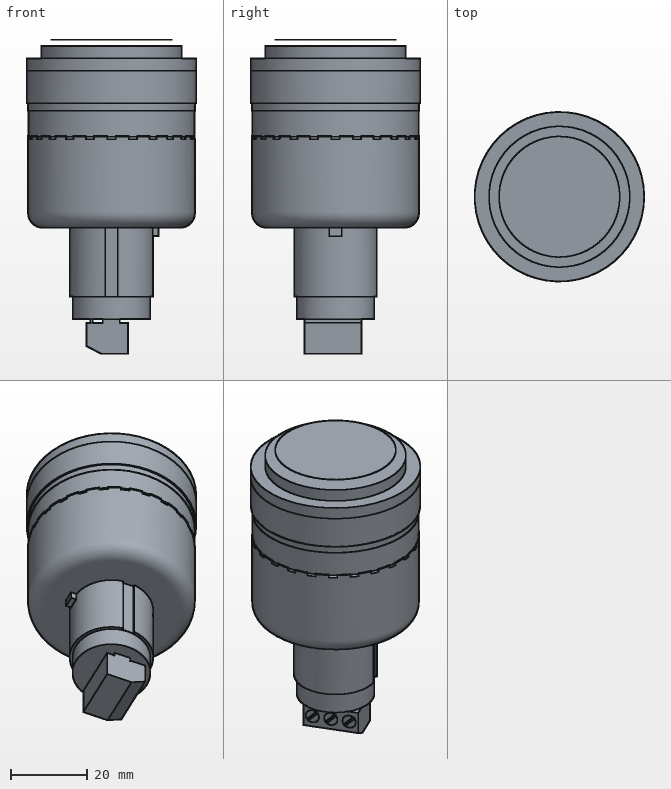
import cadquery as cq

TOTAL_HEIGHT = 82.5

DISC_RADIUS = 15.85
DISC_THICKNESS = 0.1

CAP_BOTTOM = 74.4
CAP_STEP = 77.6
CAP_TOP = 80.9
CAP_TOP_RADIUS = 18.5
FLANGE_RADIUS = 22.3

SPACER_BOTTOM = 65.9

HEAD_BOTTOM = 57.0
HEAD_STEP = 63.9
HEAD_RADIUS = 21.9
STEM_RADIUS = 10.2
STEM_BOTTOM = 9.2

HOUSING_RADIUS = 21.95
HOUSING_BOTTOM = 33.1
HOUSING_ROUNDING = 4.0
NECK_RADIUS = 11.0
NECK_BOTTOM = 15.0
TOOTH_TOP = 57.3
NOTCH_BOTTOM = 56.4
NOTCH_COUNT = 24
NOTCH_WIDTH = 2.2
KEY_SLOT_WIDTH = 3.2
KEY_SLOT_FLOOR = 10.3
TAB_REACH = 12.4
TAB_BOTTOM = 30.95

BLOCK_LEFT = -6.6
BLOCK_RIGHT = 4.4
BLOCK_TOP = 8.2
BLOCK_LENGTH = 15.0
BLOCK_CENTRE_Y = -0.7
BEVEL_HEIGHT = 2.1
BEVEL_WIDTH = 4.0
POST_LEFT = -2.3
POST_RIGHT = 2.2
LEG_THICKNESS = 0.75
LEG_WIDTH = 1.5
LEG_INSET = 1.0
LEG_SPACING = 9.7
SCREW_COUNT = 3
SCREW_PITCH = 5.0
SCREW_RADIUS = 1.8
SCREW_HEIGHT = 5.1
SCREW_RECESS = 0.1
DRIVER_SLOT_WIDTH = 0.53
DRIVER_SLOT_DEPTH = 0.2
DRIVER_SLOT_ANGLE = 45.0


def cylinder(radius, bottom, top):
    return cq.Workplane("XY").workplane(offset=bottom).circle(radius).extrude(top - bottom)


def box(x_range, y_range, z_range):
    """Box spanning the given (low, high) pairs."""
    sizes = [high - low for low, high in (x_range, y_range, z_range)]
    corner = (x_range[0], y_range[0], z_range[0])
    return cq.Workplane("XY").box(*sizes, centered=False).translate(corner)


def make_disc():
    return cylinder(DISC_RADIUS, TOTAL_HEIGHT - DISC_THICKNESS, TOTAL_HEIGHT)


def make_cap():
    flange = cylinder(FLANGE_RADIUS, CAP_BOTTOM, CAP_STEP)
    return flange.union(cylinder(CAP_TOP_RADIUS, CAP_STEP, CAP_TOP))


def make_spacer():
    return cylinder(FLANGE_RADIUS, SPACER_BOTTOM, CAP_BOTTOM)


def make_core():
    collar = cylinder(HOUSING_RADIUS, HEAD_STEP, SPACER_BOTTOM)
    head = cylinder(HEAD_RADIUS, HEAD_BOTTOM, HEAD_STEP)
    stem = cylinder(STEM_RADIUS, STEM_BOTTOM, HEAD_BOTTOM)
    return collar.union(head).union(stem)


def rim_notches():
    """Notches around the rim, whose floors rise inward at 45 degrees to the seat of the head."""
    seat_rise = HEAD_BOTTOM - NOTCH_BOTTOM
    rim_rise = TOOTH_TOP - NOTCH_BOTTOM
    notch = (
        cq.Workplane("XZ")
        .moveTo(HOUSING_RADIUS, NOTCH_BOTTOM)
        .line(0, rim_rise)
        .line(-seat_rise, 0)
        .line(0, seat_rise - rim_rise)
        .close()
        .extrude(NOTCH_WIDTH / 2, both=True)
    )
    pitch = 360 / NOTCH_COUNT
    notches = [notch.rotate((0, 0, 0), (0, 0, 1), i * pitch).val() for i in range(NOTCH_COUNT)]
    return cq.Workplane("XY").newObject([cq.Compound.makeCompound(notches)])


def make_sleeve():
    housing = cylinder(HOUSING_RADIUS, HOUSING_BOTTOM, TOOTH_TOP)
    housing = housing.faces("<Z").edges().fillet(HOUSING_ROUNDING)
    neck = cylinder(NECK_RADIUS, NECK_BOTTOM, HOUSING_BOTTOM)
    half_key = KEY_SLOT_WIDTH / 2
    key_range = (-half_key, half_key)
    neck_range = (NECK_BOTTOM, HOUSING_BOTTOM)
    neck = neck.cut(box(key_range, (-NECK_RADIUS, -KEY_SLOT_FLOOR), neck_range))
    neck = neck.cut(box(key_range, (KEY_SLOT_FLOOR, NECK_RADIUS), neck_range))
    tab = box((STEM_RADIUS, TAB_REACH), key_range, (TAB_BOTTOM, HOUSING_BOTTOM))
    bore = cylinder(STEM_RADIUS, NECK_BOTTOM, TOOTH_TOP)
    head_seat = cylinder(HEAD_RADIUS, HEAD_BOTTOM, TOOTH_TOP)
    sleeve = housing.union(neck).union(tab)
    return sleeve.cut(bore).cut(head_seat).cut(rim_notches())


def cut_screw(block, centre_y):
    """Recessed screw head with a slanted driver slot, on the -X face of the block."""
    face = cq.Workplane("YZ", origin=(BLOCK_LEFT, centre_y, SCREW_HEIGHT))
    recess = face.circle(SCREW_RADIUS).extrude(SCREW_RECESS)
    slot_depth = SCREW_RECESS + DRIVER_SLOT_DEPTH
    strip = face.transformed(rotate=(0, 0, -DRIVER_SLOT_ANGLE))
    strip = strip.rect(2 * SCREW_RADIUS, DRIVER_SLOT_WIDTH).extrude(slot_depth)
    slot = strip.intersect(face.circle(SCREW_RADIUS).extrude(slot_depth))
    return block.cut(recess).cut(slot)


def make_terminal_block():
    y_range = (BLOCK_CENTRE_Y - BLOCK_LENGTH / 2, BLOCK_CENTRE_Y + BLOCK_LENGTH / 2)
    block = (
        cq.Workplane("XZ", origin=(0, BLOCK_CENTRE_Y, 0))
        .moveTo(BLOCK_LEFT + BEVEL_WIDTH, 0)
        .lineTo(BLOCK_RIGHT, 0)
        .lineTo(BLOCK_RIGHT, BLOCK_TOP)
        .lineTo(BLOCK_LEFT, BLOCK_TOP)
        .lineTo(BLOCK_LEFT, BEVEL_HEIGHT)
        .close()
        .extrude(BLOCK_LENGTH / 2, both=True)
    )
    block = block.union(box((POST_LEFT, POST_RIGHT), y_range, (BLOCK_TOP, STEM_BOTTOM)))
    leg_left = BLOCK_LEFT + LEG_INSET
    for side in (-1, 1):
        leg_y = BLOCK_CENTRE_Y + side * LEG_SPACING / 2
        leg_range = (leg_y - LEG_WIDTH / 2, leg_y + LEG_WIDTH / 2)
        leg = box((leg_left, leg_left + LEG_THICKNESS), leg_range, (BLOCK_TOP, STEM_BOTTOM))
        block = block.union(leg)
    for i in range(SCREW_COUNT):
        offset = (i - (SCREW_COUNT - 1) / 2) * SCREW_PITCH
        block = cut_screw(block, BLOCK_CENTRE_Y + offset)
    return block


disc = make_disc()
cap = make_cap()
spacer = make_spacer()
core = make_core()
sleeve = make_sleeve()
terminal_block = make_terminal_block()

result = cq.Compound.makeCompound(
    [
        disc.val(),
        cap.val(),
        spacer.val(),
        core.val(),
        sleeve.val(),
        terminal_block.val(),
    ]
)